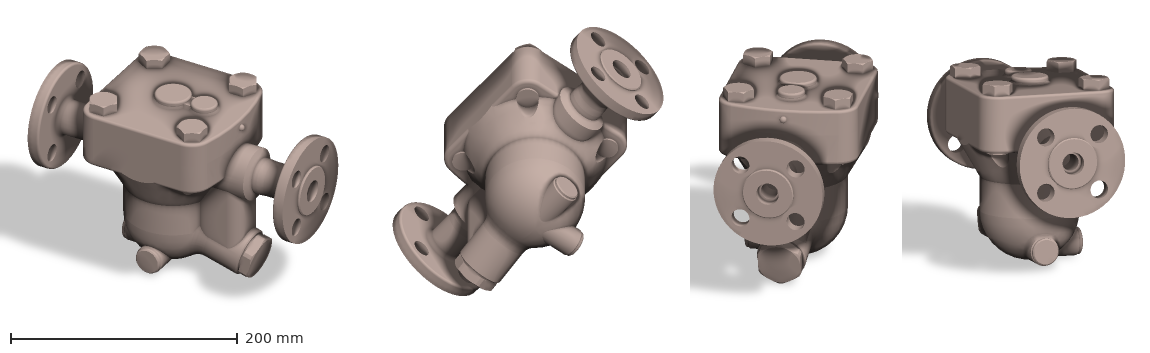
import cadquery as cq
import math


inlet_face_x = -122.0
outlet_face_x = 142.0
stub_diameter = 33.0
pipe_diameter = 32.0
weld_start = 9.2
weld_end = 15.8
hub_diameter = 48.3
hub_inlet_x = -65.5
hub_outlet_x = 85.3
hub_taper_length = 4.0
hub_cut_back_x = 13.2
flange_diameter = 98.0
flange_thickness = 10.8
flange_edge_radius = 2.0
neck_fillet = 3.7
raised_face_diameter = 46.0
raised_face_tip_diameter = 44.0
raised_face_height = 2.0
raised_face_chamfer = (raised_face_diameter - raised_face_tip_diameter) / 2
flange_hole_diameter = 16.0
flange_hole_offset = 24.8
bore_diameter = 20.0
bore_depth = 8.0
inner_bore_diameter = 15.0
inner_bore_depth = 31.7

head_width = 125.0
head_half_width = head_width / 2
head_left_x = -63.0
head_right_x = 69.2
corner_radius = 17.7
right_corner_radius = 19.3
right_corner_x = 43.8
rim_bottom_z = 1.0
split_z = 29.5
cover_top_z = 52.0
cover_edge_radius = 2.5
rim_edge_radius = 3.2
rim_draft = 1.8

bolt_x = 45.1
bolt_y = head_half_width - corner_radius
bolt_flats = 24.0
bolt_head_height = 9.5
bolt_corner_diameter = bolt_flats * 2 / math.sqrt(3)
hexagon_chamfer_angle = 30
spot_diameter = 20.0
spot_pad_height = 2.0
spot_depth = 21.0

disc_top_z = 58.0
disc_edge_width = 1.5
disc_edge_height = 2.5
disc_flare_width = 3.7
disc_flare_height = 1.5
large_disc_diameter = 33.0
small_disc_diameter = 24.0
small_disc_x = 31.7
bridge_half_width = 7.5
bridge_height = 3.0
stud_radius = 3.2
stud_z = 43.3

bowl_radius = 44.0
bowl_centre_z = -62.5
cone_bottom_z = -32.2
cone_top_z = 6.5
cone_half_angle = 30

rib_half_width = 20.3
rib_right_x = 78.0
rib_corner_radius = 12.0
rib_overlap = 13.2

port_tilt = 15
port_diameter = 44.0
port_length = 81.0
port_chamfer = 1.0
port_fillet = 15.8
port_washer_diameter = 38.0
port_washer_thickness = 1.5
port_hex_flats = 38.0
port_hex_corner_diameter = 42.0
port_hex_height = 9.0
port_hex_turn = 30

drain_z = -92.7
drain_diameter = 26.0
drain_boss_length = 43.3
drain_boss_chamfer = 1.3
drain_cap_diameter = 24.0
drain_length = 46.0
drain_cap_chamfer = 1.0
drain_fillet = 3.2

arc_throw = 1 - math.sqrt(0.5)


def cylinder_x(diameter, start_x, end_x):
    """Cylinder on the pipe axis."""
    return cq.Workplane("YZ", origin=(start_x, 0, 0)).circle(diameter / 2).extrude(end_x - start_x)


def hexagon_head(flats, corner_diameter, height):
    """Hexagon along Z with two flats facing X, turned to the corner diameter and chamfered on top."""
    corner = corner_diameter / 2
    drop = (corner - flats / 2) * math.tan(math.radians(hexagon_chamfer_angle))
    prism = cq.Workplane("XY").polygon(6, flats, circumscribed=True).extrude(height)
    envelope = (
        cq.Workplane("XZ")
        .polyline([(0, 0), (corner, 0), (corner, height - drop), (flats / 2, height), (0, height)])
        .close()
        .revolve(360, (0, 0), (0, 1))
    )
    return prism.intersect(envelope)



left_corner_x = head_left_x + corner_radius
left_corner_y = head_half_width - corner_radius
right_corner_y = head_half_width - right_corner_radius


def head_outline(sheet, right_x):
    """Rounded square whose bulged right side is one arc tangent to both right corner arcs."""
    left_throw = corner_radius * math.sqrt(0.5)
    left_middle_x = left_corner_x - left_throw
    left_middle_y = left_corner_y + left_throw
    reach = right_x - right_corner_x
    squares = reach**2 + right_corner_y**2 - right_corner_radius**2
    bulge_radius = squares / (2 * (reach - right_corner_radius))
    tangent = math.atan2(right_corner_y, right_corner_x - right_x + bulge_radius)
    tangent_x = right_corner_x + right_corner_radius * math.cos(tangent)
    tangent_y = right_corner_y + right_corner_radius * math.sin(tangent)
    middle = (tangent + math.pi / 2) / 2
    middle_x = right_corner_x + right_corner_radius * math.cos(middle)
    middle_y = right_corner_y + right_corner_radius * math.sin(middle)
    return (
        sheet.moveTo(left_corner_x, -head_half_width)
        .lineTo(right_corner_x, -head_half_width)
        .threePointArc((middle_x, -middle_y), (tangent_x, -tangent_y))
        .threePointArc((right_x, 0), (tangent_x, tangent_y))
        .threePointArc((middle_x, middle_y), (right_corner_x, head_half_width))
        .lineTo(left_corner_x, head_half_width)
        .threePointArc((left_middle_x, left_middle_y), (head_left_x, left_corner_y))
        .lineTo(head_left_x, -left_corner_y)
        .threePointArc((left_middle_x, -left_middle_y), (left_corner_x, -head_half_width))
        .close()
    )


def head_prism(bottom_z, top_z):
    sheet = cq.Workplane("XY", origin=(0, 0, bottom_z))
    return head_outline(sheet, head_right_x).extrude(top_z - bottom_z)


def rim():
    """Lower half of the head, its bulged side drafted inward toward the bottom."""
    bottom = head_outline(cq.Workplane("XY", origin=(0, 0, rim_bottom_z)), head_right_x - rim_draft)
    drafted = head_outline(bottom.workplane(offset=split_z - rim_bottom_z), head_right_x).loft(ruled=True)
    return drafted.faces("<Z").edges().fillet(rim_edge_radius)


def cover():
    return head_prism(split_z, cover_top_z).faces(">Z").edges().fillet(cover_edge_radius)


def cover_disc(diameter, centre_x):
    """Disc with a rounded top edge and a hollow flare down to the cover."""
    radius = diameter / 2
    foot_radius = radius + disc_flare_width
    top_radius = radius - disc_edge_width
    flare_top_z = cover_top_z + disc_flare_height
    flare_middle = (radius + arc_throw * disc_flare_width, cover_top_z + arc_throw * disc_flare_height)
    edge_middle = (radius - arc_throw * disc_edge_width, disc_top_z - arc_throw * disc_edge_height)
    return (
        cq.Workplane("XZ", origin=(centre_x, 0, 0))
        .moveTo(0, split_z)
        .lineTo(foot_radius, split_z)
        .lineTo(foot_radius, cover_top_z)
        .threePointArc(flare_middle, (radius, flare_top_z))
        .lineTo(radius, disc_top_z - disc_edge_height)
        .threePointArc(edge_middle, (top_radius, disc_top_z))
        .lineTo(0, disc_top_z)
        .close()
        .revolve(360, (0, 0), (0, 1))
    )


def disc_bridge():
    """Low bridge between the two discs, with hollow fillets along its sides."""
    throw = bridge_height * arc_throw
    foot = bridge_half_width + bridge_height
    top_z = cover_top_z + bridge_height
    return (
        cq.Workplane("YZ")
        .moveTo(-foot, split_z)
        .lineTo(foot, split_z)
        .lineTo(foot, cover_top_z)
        .threePointArc((bridge_half_width + throw, cover_top_z + throw), (bridge_half_width, top_z))
        .lineTo(-bridge_half_width, top_z)
        .threePointArc((-bridge_half_width - throw, cover_top_z + throw), (-foot, cover_top_z))
        .close()
        .extrude(small_disc_x)
    )


def cover_marker():
    """Large and small disc joined by the bridge."""
    large_disc = cover_disc(large_disc_diameter, 0)
    small_disc = cover_disc(small_disc_diameter, small_disc_x)
    return disc_bridge().union(large_disc).union(small_disc)


def cover_stud():
    """Small domed stud on the bulged side of the cover."""
    return cq.Workplane("XY").sphere(stud_radius).translate((head_right_x, 0, stud_z))




def bowl():
    """Revolved bowl; its flared top is trimmed to the outline of the head."""
    cone_top_radius = bowl_radius + (cone_top_z - cone_bottom_z) * math.tan(math.radians(cone_half_angle))
    diagonal = bowl_radius * math.sqrt(0.5)
    revolved = (
        cq.Workplane("XZ")
        .moveTo(0, cone_top_z)
        .lineTo(cone_top_radius, cone_top_z)
        .lineTo(bowl_radius, cone_bottom_z)
        .lineTo(bowl_radius, bowl_centre_z)
        .threePointArc((diagonal, bowl_centre_z - diagonal), (0, bowl_centre_z - bowl_radius))
        .close()
        .revolve(360, (0, 0), (0, 1))
    )
    return revolved.intersect(head_prism(bowl_centre_z - 2 * bowl_radius, cover_top_z))


def drain_boss():
    """Drain boss along -X with a slightly smaller cap."""
    boss = (
        cq.Workplane("YZ", origin=(0, 0, drain_z))
        .circle(drain_diameter / 2)
        .extrude(-drain_boss_length)
        .faces("<X")
        .edges()
        .chamfer(drain_boss_chamfer)
    )
    cap = (
        cq.Workplane("YZ", origin=(0, 0, drain_z))
        .circle(drain_cap_diameter / 2)
        .extrude(-drain_length)
        .faces("<X")
        .edges()
        .chamfer(drain_cap_chamfer)
    )
    return boss.union(cap)


def rib():
    return (
        cq.Workplane("XY", origin=(rib_right_x / 2, 0, bowl_centre_z - rib_overlap))
        .rect(rib_right_x, 2 * rib_half_width)
        .extrude(rib_overlap - bowl_centre_z)
        .edges("|Z and >X")
        .fillet(rib_corner_radius)
    )


def port():
    """Oblique port: blended into the round of the bowl, closed by a hexagon plug."""
    radius = port_diameter / 2
    centre_radial = radius + port_fillet
    centre_axial = math.sqrt((bowl_radius + port_fillet) ** 2 - centre_radial**2)
    share = bowl_radius / (bowl_radius + port_fillet)
    start = (centre_radial * share, centre_axial * share)
    start_angle = math.atan2(-centre_axial, -centre_radial)
    middle_angle = (start_angle - math.pi) / 2
    middle = (
        centre_radial + port_fillet * math.cos(middle_angle),
        centre_axial + port_fillet * math.sin(middle_angle),
    )
    plug_start = port_length + port_washer_thickness
    neck = (
        cq.Workplane("XZ")
        .moveTo(0, 0)
        .lineTo(*start)
        .threePointArc(middle, (radius, centre_axial))
        .lineTo(radius, port_length - port_chamfer)
        .lineTo(radius - port_chamfer, port_length)
        .lineTo(port_washer_diameter / 2, port_length)
        .lineTo(port_washer_diameter / 2, plug_start)
        .lineTo(0, plug_start)
        .close()
        .revolve(360, (0, 0), (0, 1))
    )
    plug = (
        hexagon_head(port_hex_flats, port_hex_corner_diameter, port_hex_height)
        .rotate((0, 0, 0), (0, 0, 1), port_hex_turn)
        .translate((0, 0, plug_start))
    )
    return (
        neck.union(plug)
        .rotate((0, 0, 0), (0, 1, 0), 90 + port_tilt)
        .translate((0, 0, bowl_centre_z))
    )




def pipe_end(face_x, hub_x):
    """Tapered hub, pipe and flange on one side, revolved about the pipe axis."""
    out = math.copysign(1, face_x)
    hub = hub_diameter / 2
    stub = stub_diameter / 2
    pipe = pipe_diameter / 2
    flange = flange_diameter / 2
    raised = raised_face_diameter / 2
    front_x = face_x - out * raised_face_height
    back_x = front_x - out * flange_thickness
    edge_throw = flange_edge_radius * arc_throw
    neck_throw = neck_fillet * arc_throw
    turned = (
        cq.Workplane("XY")
        .moveTo(out * hub_cut_back_x, 0)
        .lineTo(out * hub_cut_back_x, hub)
        .lineTo(hub_x, hub)
        .lineTo(hub_x + out * hub_taper_length, stub)
        .lineTo(hub_x + out * weld_start, stub)
        .lineTo(hub_x + out * weld_end, pipe)
        .lineTo(back_x - out * neck_fillet, pipe)
        .threePointArc((back_x - out * neck_throw, pipe + neck_throw), (back_x, pipe + neck_fillet))
        .lineTo(back_x, flange - flange_edge_radius)
        .threePointArc(
            (back_x + out * edge_throw, flange - edge_throw),
            (back_x + out * flange_edge_radius, flange),
        )
        .lineTo(front_x, flange)
        .lineTo(front_x, raised)
        .lineTo(face_x - out * raised_face_chamfer, raised)
        .lineTo(face_x, raised - raised_face_chamfer)
        .lineTo(face_x, 0)
        .close()
        .revolve(360, (0, 0), (1, 0))
    )
    bolt_holes = (
        cq.Workplane("YZ", origin=(face_x, 0, 0))
        .rect(2 * flange_hole_offset, 2 * flange_hole_offset, forConstruction=True)
        .vertices()
        .circle(flange_hole_diameter / 2)
        .extrude(back_x - face_x)
    )
    bore = cylinder_x(bore_diameter, face_x, face_x - out * bore_depth)
    inner_bore = cylinder_x(inner_bore_diameter, face_x, face_x - out * inner_bore_depth)
    return turned.cut(bolt_holes).cut(bore).cut(inner_bore)



drain = drain_boss()
drain_joint = (-math.sqrt(bowl_radius**2 - (drain_z - bowl_centre_z) ** 2), 0, drain_z)
bowl_with_drains = bowl().union(drain).edges(cq.NearestToPointSelector(drain_joint)).fillet(drain_fillet)
bowl_with_drains = bowl_with_drains.union(drain.rotate((0, 0, 0), (0, 0, 1), 90))

bolt_places = [(side_x * bolt_x, side_y * bolt_y) for side_x in (-1, 1) for side_y in (-1, 1)]

spot_cuts = (
    cq.Workplane("XY", origin=(0, 0, rim_bottom_z - spot_depth))
    .pushPoints(bolt_places)
    .circle(spot_diameter / 2)
    .extrude(spot_depth)
)
spot_pads = (
    cq.Workplane("XY", origin=(0, 0, rim_bottom_z - spot_pad_height))
    .pushPoints(bolt_places)
    .circle(spot_diameter / 2)
    .extrude(2 * spot_pad_height)
)

result = bowl_with_drains.cut(spot_cuts).union(spot_pads).union(rim()).union(cover())
result = result.union(rib()).union(port())
result = result.union(pipe_end(inlet_face_x, hub_inlet_x)).union(pipe_end(outlet_face_x, hub_outlet_x))
result = result.union(cover_marker()).union(cover_stud())

bolt_head = hexagon_head(bolt_flats, bolt_corner_diameter, bolt_head_height)
for x, y in bolt_places:
    head_turn = 30 if x * y > 0 else 0
    result = result.union(bolt_head.rotate((0, 0, 0), (0, 0, 1), head_turn).translate((x, y, cover_top_z)))